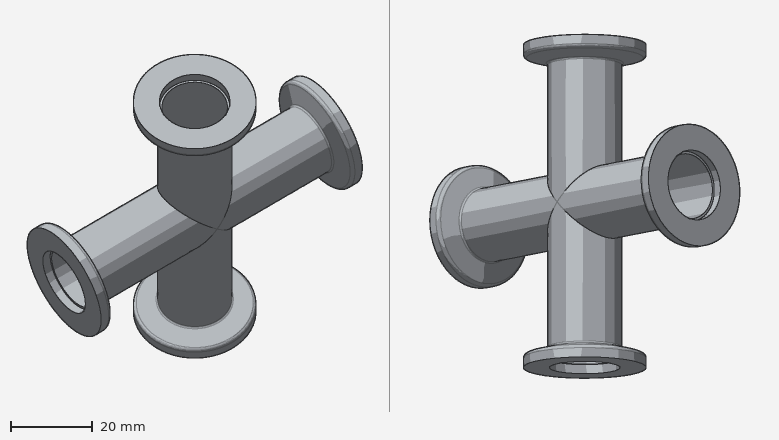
import cadquery as cq
import math

span = 80.0
flange_diameter = 30.0
tube_diameter = 18.2
bore_diameter = 16.0

rim_height = 3.0
cone_angle = 15.0
rim_round = 1.0
neck_fillet = 0.5

recess_diameter = 17.2
recess_depth = 2.2

half_span = span / 2
flange_radius = flange_diameter / 2
tube_radius = tube_diameter / 2
cone_height = (flange_radius - tube_radius) * math.tan(math.radians(cone_angle))
rim_bottom = half_span - rim_height
cone_bottom = rim_bottom - cone_height


def circle_edge(radius, height):
    """Selector for the edges of a circle centred on Z."""
    margin = 0.1
    return cq.selectors.BoxSelector(
        (-radius - margin, -radius - margin, height - margin),
        (radius + margin, radius + margin, height + margin),
        boundingbox=True,
    )


def make_arm():
    """Solid tube rising from the centre along Z, with its flange on top."""
    profile = [
        (0, 0),
        (tube_radius, 0),
        (tube_radius, cone_bottom),
        (flange_radius, rim_bottom),
        (flange_radius, half_span),
        (0, half_span),
    ]
    arm = cq.Workplane("XZ").polyline(profile).close().revolve(360, (0, 0), (0, 1))
    arm = arm.edges(circle_edge(flange_radius, rim_bottom)).fillet(rim_round)
    return arm.edges(circle_edge(tube_radius, cone_bottom)).fillet(neck_fillet)


def make_passage():
    """Half-length bore along Z with the wider recess at the flange face."""
    bore = cq.Workplane("XY").circle(bore_diameter / 2).extrude(half_span)
    recess = (
        cq.Workplane("XY")
        .workplane(offset=half_span - recess_depth)
        .circle(recess_diameter / 2)
        .extrude(recess_depth)
    )
    return bore.union(recess)


def make_cross(branch):
    """Join four copies of a branch, turned about X in quarter turns."""
    cross = branch
    for turn in (90, 180, 270):
        cross = cross.union(branch.rotate((0, 0, 0), (1, 0, 0), turn))
    return cross


result = make_cross(make_arm()).cut(make_cross(make_passage()))